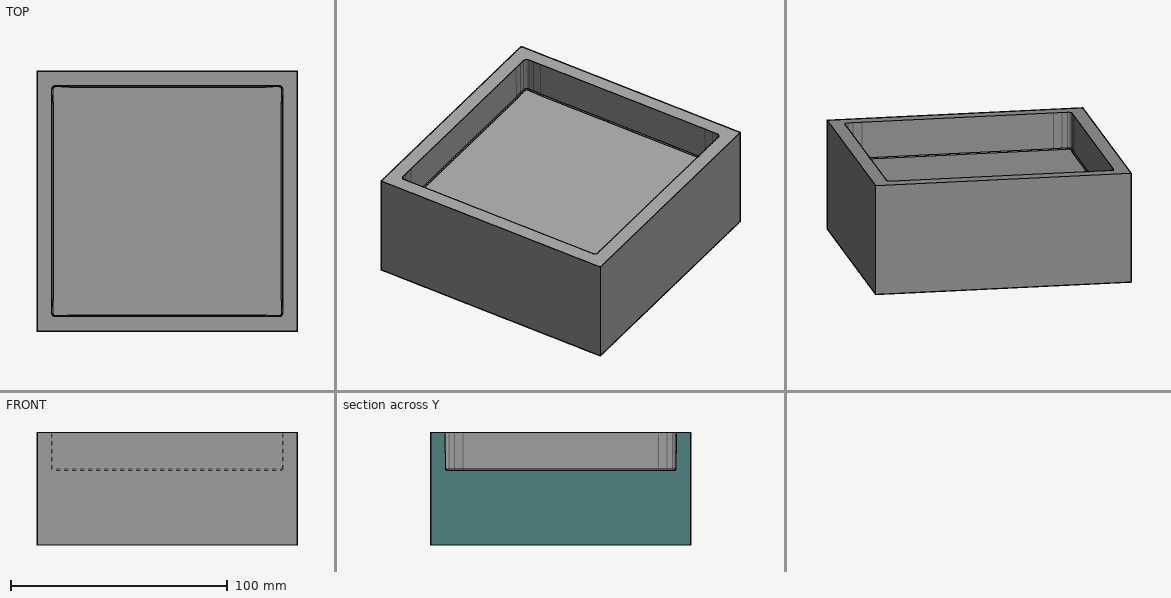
import cadquery as cq
import math

side = 120.0
height = 52.0

pocket_side = 106.6
pocket_depth = 17.5
corner_radius = 1.75
floor_chamfer = 0.5

lean_at_floor = 0.25
upright_end = 4.25
lean_start = 8.25

half_pocket = pocket_side / 2
floor_z = height - pocket_depth

side_count = 4
side_angle = 360 / side_count
half_corner_angle = math.radians(side_angle / 2)

origin = cq.Vector(0, 0, 0)
z_axis = cq.Vector(0, 0, 1)


def wall_and_corner(z, lean, offset):
    """Edges of the +X wall at height z, followed by the rounded corner that leads to the +Y wall."""
    wall = half_pocket - offset
    corner_center = half_pocket - corner_radius
    arc_middle = corner_center + (corner_radius - offset) * math.cos(half_corner_angle)
    upright_y = half_pocket - upright_end
    lean_y = half_pocket - lean_start
    wall_points = [
        cq.Vector(wall, -corner_center, z),
        cq.Vector(wall, -upright_y, z),
        cq.Vector(wall - lean, -lean_y, z),
        cq.Vector(wall - lean, lean_y, z),
        cq.Vector(wall, upright_y, z),
        cq.Vector(wall, corner_center, z),
    ]
    edges = [cq.Edge.makeLine(start, end) for start, end in zip(wall_points, wall_points[1:])]
    corner = cq.Edge.makeThreePointArc(
        wall_points[-1],
        cq.Vector(arc_middle, arc_middle, z),
        cq.Vector(corner_center, wall, z),
    )
    return edges + [corner]


def pocket_outline(z, lean, offset):
    """Closed pocket outline at height z, shrunk by offset, with the wall middles moved inward by lean."""
    edges = []
    for index in range(side_count):
        for edge in wall_and_corner(z, lean, offset):
            edges.append(edge.rotate(origin, z_axis, index * side_angle))
    return cq.Wire.assembleEdges(edges)


def pocket():
    """Pocket body: a chamfered rim around the floor, with the leaning walls above it."""
    floor = pocket_outline(floor_z, lean_at_floor, floor_chamfer)
    wall_foot = pocket_outline(floor_z + floor_chamfer, lean_at_floor, 0)
    mouth = pocket_outline(height, 0, 0)
    rim = cq.Solid.makeLoft([floor, wall_foot], True)
    walls = cq.Solid.makeLoft([wall_foot, mouth], True)
    return cq.Workplane(rim).union(cq.Workplane(walls))


block = cq.Workplane("XY").box(side, side, height, centered=(True, True, False))
result = block.cut(pocket())